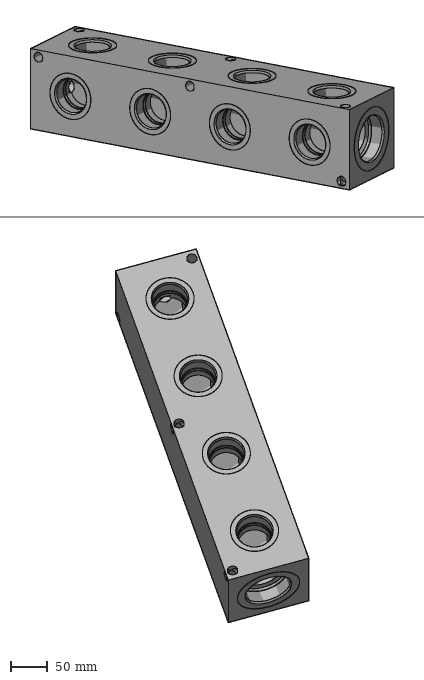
import cadquery as cq
import math

length = 508.0
side = 114.5

port_count = 4
port_pitch = length / port_count
port_places = [(i - (port_count - 1) / 2) * port_pitch for i in range(port_count)]

spotface_depth = 0.5
step_angle = 132.0
point_angle = 120.0

side_spotface = 65.0
side_mouth = 51.0
side_thread = 48.0
side_bore = 45.5
side_drill = 44.5
side_mouth_depth = 3.5
side_thread_depth = 20.0
side_bore_depth = 24.5
side_drill_depth = 36.5

end_spotface = 88.5
end_mouth = 66.0
end_thread = 63.5
end_bore = 61.5
end_drill = 51.0
end_mouth_depth = 3.5
end_thread_depth = 20.0
end_bore_depth = 24.0
end_drill_depth = 41.0

bolt_hole = 13.5
bolt_end = 12.5
bolt_edge = 10.0


def cone_height(large, small, angle):
    """Height of a cone of the given included angle between two diameters."""
    return (large - small) / 2 / math.tan(math.radians(angle / 2))


def port_cutter(diameters, depths):
    """Stepped blind port with its mouth on the XY plane, running toward -Z."""
    spotface, mouth, thread, bore, drill = diameters
    mouth_depth, thread_depth, bore_depth, drill_depth = depths
    profile = [
        (0, 0),
        (spotface / 2, 0),
        (spotface / 2, -spotface_depth),
        (mouth / 2, -spotface_depth),
        (thread / 2, -mouth_depth),
        (thread / 2, -thread_depth),
        (bore / 2, -thread_depth),
        (bore / 2, -bore_depth),
        (drill / 2, -bore_depth - cone_height(bore, drill, step_angle)),
        (drill / 2, -drill_depth),
        (0, -drill_depth - cone_height(drill, 0, point_angle)),
    ]
    return cq.Workplane("XZ").polyline(profile).close().revolve(360, (0, 0, 0), (0, 1, 0))


side_port = port_cutter(
    (side_spotface, side_mouth, side_thread, side_bore, side_drill),
    (side_mouth_depth, side_thread_depth, side_bore_depth, side_drill_depth),
)
end_port = port_cutter(
    (end_spotface, end_mouth, end_thread, end_bore, end_drill),
    (end_mouth_depth, end_thread_depth, end_bore_depth, end_drill_depth),
)

top_port = side_port.translate((0, 0, side / 2))
front_port = top_port.rotate((0, 0, 0), (1, 0, 0), 90)
right_port = end_port.translate((0, 0, length / 2)).rotate((0, 0, 0), (0, 1, 0), 90)
left_port = right_port.rotate((0, 0, 0), (0, 0, 1), 180)

result = cq.Workplane("XY").box(length, side, side)
result = result.cut(left_port).cut(right_port)
for x in port_places:
    result = result.cut(top_port.translate((x, 0, 0)))
    result = result.cut(front_port.translate((x, 0, 0)))

bolt_x = length / 2 - bolt_end
bolt_row = side / 2 - bolt_edge
bolt_places = [(-bolt_x, bolt_row), (0, bolt_row), (bolt_x, -bolt_row)]
for plane in ("XY", "XZ"):
    holes = cq.Workplane(plane).pushPoints(bolt_places).circle(bolt_hole / 2)
    result = result.cut(holes.extrude(side, both=True))